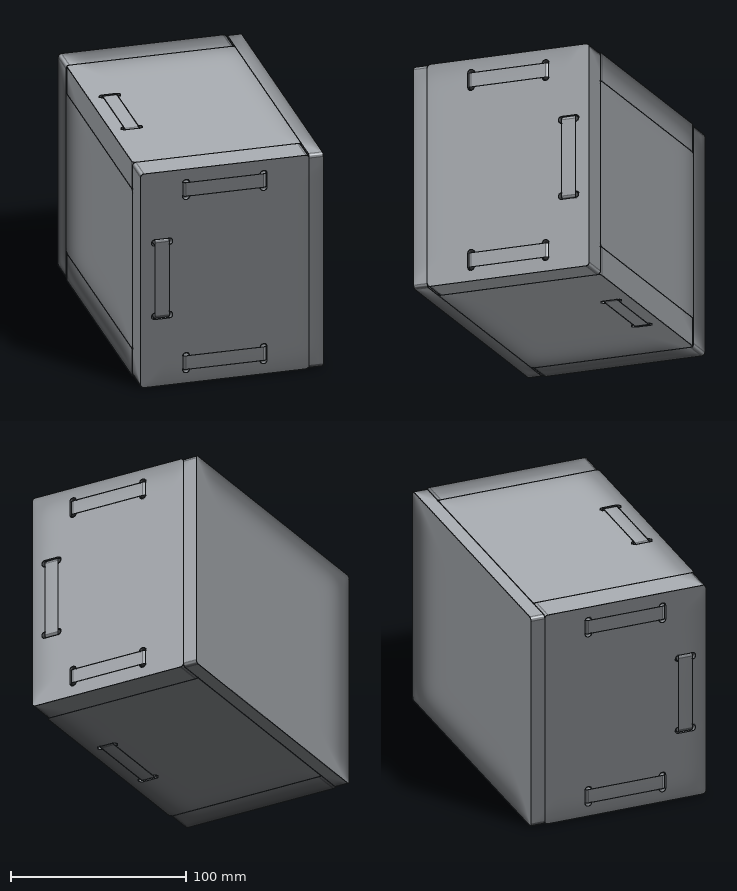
import cadquery as cq

inside_width = 140.0
inside_height = 100.0
panel_depth = 100.0
thickness = 17.0
corner_radius = 2.0
tab_length = 50.0
relief_radius = 2.0

tab_thickness = thickness / 2
back_thickness = thickness / 2
outer_width = inside_width + 2 * thickness
outer_height = inside_height + 2 * thickness

mid_depth = panel_depth / 2
tab_offset = thickness - tab_thickness / 2


def rounded_plate(length_u, length_v, height, rounded_edges="|Z"):
    plate = cq.Workplane("XY").rect(length_u, length_v).extrude(height)
    return plate.edges(rounded_edges).fillet(corner_radius)


def tab_strip(body_length):
    """Bar along U that leaves one tab beyond each end of the body."""
    return rounded_plate(body_length + 2 * thickness, tab_length, tab_thickness)


def slot_cutter(center_u, center_v, angle):
    """Tab-sized slot through a panel, with a round relief at each corner."""
    relief_u = tab_length / 2 - relief_radius
    relief_v = tab_thickness / 2
    corners = [(u, v) for u in (-relief_u, relief_u) for v in (-relief_v, relief_v)]
    slot = cq.Workplane("XY").rect(tab_length, tab_thickness).extrude(thickness)
    reliefs = cq.Workplane("XY").pushPoints(corners).circle(relief_radius).extrude(thickness)
    cutter = slot.union(reliefs)
    return cutter.rotate((0, 0, 0), (0, 0, 1), angle).translate((center_u, center_v, 0))


def place(panel, origin, u_direction, outward):
    """Stand a flat panel up with its inner face at the origin, facing away from outward."""
    return cq.Workplane(panel.val().moved(cq.Plane(origin, u_direction, outward).location))


def make_front_panel():
    """U along X, V along Z; tabs on all four edges."""
    upright_tabs = tab_strip(inside_height).rotate((0, 0, 0), (0, 0, 1), 90)
    panel = rounded_plate(inside_width, inside_height, thickness)
    panel = panel.union(tab_strip(inside_width)).union(upright_tabs)
    return place(panel, (0, thickness, 0), (1, 0, 0), (0, -1, 0))


def make_level_panel(side):
    """Top (side = 1) or bottom (side = -1): tabs at both X ends, slot for the front panel."""
    front_corners = "|Z and <Y" if side > 0 else "|Z and >Y"
    panel = rounded_plate(inside_width, panel_depth, thickness, front_corners)
    panel = panel.union(tab_strip(inside_width))
    panel = panel.cut(slot_cutter(0, side * (tab_offset - mid_depth), 0))
    return place(panel, (0, mid_depth, side * inside_height / 2), (1, 0, 0), (0, 0, side))


def make_side_panel(side):
    """Left (side = -1) or right (side = 1): U along Y, slots for the front, top and bottom."""
    panel = rounded_plate(panel_depth, outer_height, thickness)
    panel = panel.cut(slot_cutter(tab_offset - mid_depth, 0, 90))
    for end in (-1, 1):
        panel = panel.cut(slot_cutter(0, end * (outer_height / 2 - tab_offset), 0))
    return place(panel, (side * inside_width / 2, mid_depth, 0), (0, 1, 0), (side, 0, 0))


def make_back_panel():
    panel = rounded_plate(outer_width, outer_height, back_thickness)
    return place(panel, (0, panel_depth, 0), (1, 0, 0), (0, 1, 0))


front_panel = make_front_panel()
back_panel = make_back_panel()
level_panels = [make_level_panel(side) for side in (-1, 1)]
side_panels = [make_side_panel(side) for side in (-1, 1)]

panels = [front_panel, back_panel, *level_panels, *side_panels]
result = cq.Compound.makeCompound([panel.solids().val() for panel in panels])